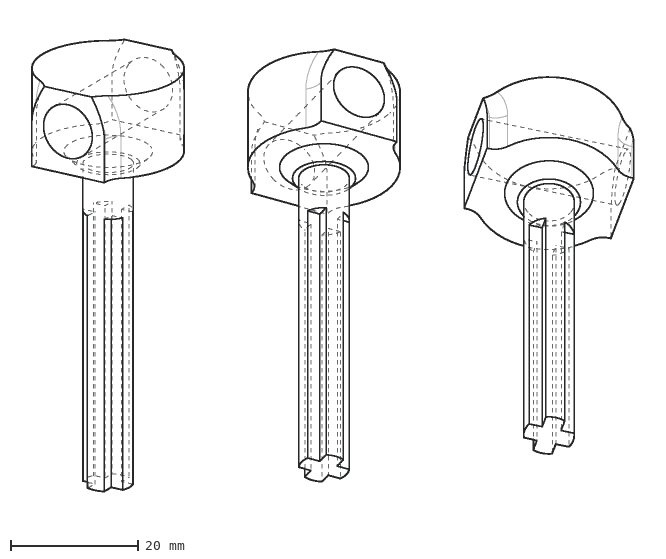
import cadquery as cq
import math

total_height = 70.0
head_diameter = 24.0
head_height = 14.0
head_bottom = total_height - head_height
head_radius = head_diameter / 2

hole_diameter = 9.0
hole_z = total_height - 6.7
lug_half_width = 6.7
lug_arc_radius = 8.4
lug_fillet = 3.5
lug_overrun = 4.2
crown_overrun = 1.4
seam_margin = 0.1

collar_height = 2.0
collar_bottom_radius = 5.0
collar_bottom = head_bottom - collar_height
shaft_diameter = 8.0
flute_top = 46.0
rib_width = 3.1


def make_head():
    """Round head with filleted lugs, trimmed to flat ends at front and back."""
    raw_height = head_height + crown_overrun
    raw_top = head_bottom + raw_height
    drum = cq.Workplane("XY").workplane(offset=head_bottom).circle(head_radius).extrude(raw_height)

    arc_centre_x = lug_half_width - lug_arc_radius
    rise = raw_top - hole_z
    crown_half_width = arc_centre_x + math.sqrt(lug_arc_radius**2 - rise**2)
    middle_angle = math.asin(rise / lug_arc_radius) / 2
    middle_x = arc_centre_x + lug_arc_radius * math.cos(middle_angle)
    middle_z = hole_z + lug_arc_radius * math.sin(middle_angle)
    half_length = head_radius + lug_overrun
    lugs = (
        cq.Workplane("XZ")
        .moveTo(-lug_half_width, head_bottom)
        .lineTo(lug_half_width, head_bottom)
        .lineTo(lug_half_width, hole_z)
        .threePointArc((middle_x, middle_z), (crown_half_width, raw_top))
        .lineTo(-crown_half_width, raw_top)
        .threePointArc((-middle_x, middle_z), (-lug_half_width, hole_z))
        .close()
        .extrude(half_length, both=True)
    )

    seam_y = math.sqrt(head_radius**2 - lug_half_width**2)
    seam_corner_x = lug_half_width + seam_margin
    head = drum.union(lugs)
    for side in (-1, 1):
        seams = cq.selectors.BoxSelector(
            (-seam_corner_x, side * (seam_y - seam_margin), head_bottom + seam_margin),
            (seam_corner_x, side * (head_radius + seam_margin), raw_top - seam_margin),
        )
        head = head.edges(seams).fillet(lug_fillet)

    envelope = (
        cq.Workplane("XY")
        .workplane(offset=head_bottom)
        .rect(head_diameter, head_diameter)
        .extrude(head_height)
    )
    return head.intersect(envelope)


def make_stem():
    """Tapered collar and shaft, revolved about the Z axis."""
    shaft_radius = shaft_diameter / 2
    collar_top_radius = collar_bottom_radius + collar_height
    return (
        cq.Workplane("XZ")
        .polyline([
            (0, 0),
            (shaft_radius, 0),
            (shaft_radius, collar_bottom),
            (collar_bottom_radius, collar_bottom),
            (collar_top_radius, head_bottom),
            (0, head_bottom),
        ])
        .close()
        .revolve(360, (0, 0), (0, 1))
    )


def make_flutes():
    """Four square corner cuts that leave a cross-shaped shaft."""
    flute_offset = (rib_width + shaft_diameter) / 2
    return (
        cq.Workplane("XY")
        .rarray(2 * flute_offset, 2 * flute_offset, 2, 2)
        .rect(shaft_diameter, shaft_diameter)
        .extrude(flute_top)
    )


cross_hole = (
    cq.Workplane("XZ")
    .center(0, hole_z)
    .circle(hole_diameter / 2)
    .extrude(head_diameter, both=True)
)

result = make_head().union(make_stem()).cut(make_flutes()).cut(cross_hole)